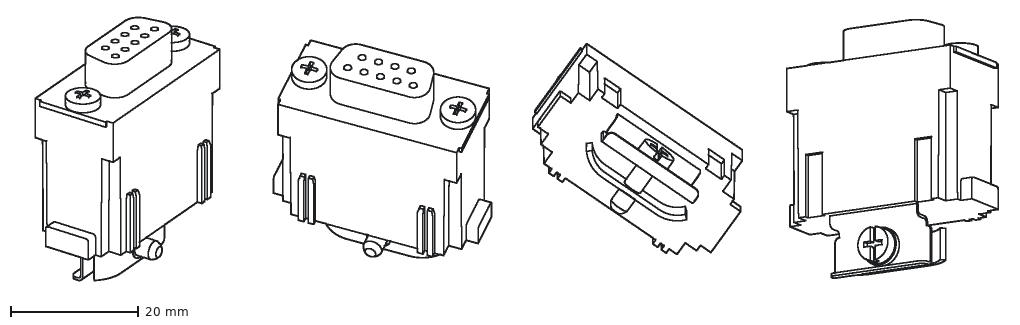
import cadquery as cq
import math

BODY_X = 14.8
BODY_Y = 30.0
BODY_Z = 24.5

RELIEF_X = 2.12
RELIEF_Y = 2.04
RELIEF_Z = 17.5
RELIEF_DRAFT = 0.5

LATCH_Y = 10.0
LATCH_Z = 10.1
RIB_PROUD = 0.8
RIB_WIDTH = 0.95
RIB_SPACING = 1.65
RIB_LEAD_Z = 0.9
RIB_LEAD_X = 0.2
RIB_LEAD_Y = 0.25
SLOT_WIDTH = 3.05
SLOT_DEPTH = 0.8

LUG_PROUD = 2.0
LUG_Z = 3.63
LUG_RADIUS = 0.5
FRONT_LUG_X = 8.15
REAR_LUG_X = 6.15

PLATE_X = 12.5
PLATE_Y = 30.8
PLATE_T = 0.9

SHELL_Z = 6.0
SHELL_CORNER_R = 2.5
SHELL_CENTER_X = 1.47
SHELL_SLANT = 10.0
SHELL_WIDE_Y = 5.75
SHELL_NARROW_Y = SHELL_WIDE_Y - 2 * SHELL_CENTER_X * math.tan(math.radians(SHELL_SLANT))

CONTACT_D = 1.2
CONTACT_PITCH = 2.75
CONTACT_ROW_X = 1.42
CONTACT_DEPTH = SHELL_Z
WIDE_ROW_COUNT = 5
NARROW_ROW_COUNT = 4

SCREW_Y = 12.5
SCREW_HEAD_D = 5.55
SCREW_RIM_Z = 1.55
SCREW_DOME_Z = 0.43
SCREW_CROSS_LENGTH = 2.65
SCREW_CROSS_WIDTH = 0.56
SCREW_CROSS_DEPTH = 1.0

SHEET_T = 0.45
BEND_R = 0.95
CLAMP_TOP_X = -5.9
CLAMP_FACE_X = -2.56
CLAMP_LIP_X = -4.9
CLAMP_SHELF_Z = -1.5
CLAMP_BOTTOM_Z = -9.5
CLAMP_WIDTH = 17.5
CLAMP_SHOULDER_Z = -2.92
CLAMP_SHOULDER_R = 0.775
CLAMP_LIP_R = 1.0

CLAMP_SCREW_Z = -5.47
CLAMP_HEAD_X = -6.02
CLAMP_WASHER_X = -3.98
CLAMP_HEAD_FACE_D = 5.5
CLAMP_HEAD_BASE_D = 5.65
CLAMP_WASHER_D = 6.1
CLAMP_SHANK_D = 3.1
CLAMP_SHANK_END_X = 5.0
CLAMP_TIP_X = 6.0
CLAMP_TIP_D = 1.8
CLAMP_TIP_ROUND_R = 2.0
CLAMP_SLOT_WIDTH = 0.9
CLAMP_CROSS_LENGTH = 3.25
CLAMP_CROSS_WIDTH = 0.8
CLAMP_SLOT_DEPTH = 1.0

BAR_Z = 5.13
BAR_OUTER_X = 2.3
BAR_T = 0.9
BAR_FLAT_HALF_Y = 5.25
BAR_BEND_R = 5.75
BAR_BEND_ANGLE = 50.0
BAR_COLLAR_D = 4.0
BAR_COLLAR_PROUD = 0.1


def box(x_range, y_range, z_range):
    """Axis-aligned box between pairs of limits."""
    (x0, x1), (y0, y1), (z0, z1) = x_range, y_range, z_range
    return cq.Workplane("XY").box(x1 - x0, y1 - y0, z1 - z0, centered=False).translate((x0, y0, z0))


def centered_box(size_x, size_y, z_range):
    """Box centred on the Z axis."""
    return box((-size_x / 2, size_x / 2), (-size_y / 2, size_y / 2), z_range)


def corner_relief(side_x, side_y):
    """Tapered square notch along one vertical edge of the housing."""
    spread = 2 * RELIEF_Z * math.tan(math.radians(RELIEF_DRAFT))
    bottom = cq.Workplane("XY").rect(2 * RELIEF_X + spread, 2 * RELIEF_Y + spread)
    notch = bottom.workplane(offset=RELIEF_Z).rect(2 * RELIEF_X, 2 * RELIEF_Y).loft(ruled=True)
    return notch.translate((side_x * BODY_X / 2, side_y * BODY_Y / 2, 0))


def latch_slot(y):
    """Shallow slot in the -X face, open at the underside."""
    face_x = -BODY_X / 2
    return box((face_x, face_x + SLOT_DEPTH), (y - SLOT_WIDTH / 2, y + SLOT_WIDTH / 2), (0, LATCH_Z))


def latch_rib(y, outward):
    """Rib on the +X face; its top tapers in X and on the side facing `outward` in Y."""
    face_x = BODY_X / 2
    lead_z = LATCH_Z - RIB_LEAD_Z
    base = box((face_x, face_x + RIB_PROUD), (y - RIB_WIDTH / 2, y + RIB_WIDTH / 2), (0, lead_z))
    lead = (
        cq.Workplane("XY", origin=(face_x + RIB_PROUD / 2, y, lead_z))
        .rect(RIB_PROUD, RIB_WIDTH)
        .workplane(offset=RIB_LEAD_Z)
        .center(-RIB_LEAD_X / 2, -outward * RIB_LEAD_Y / 2)
        .rect(RIB_PROUD - RIB_LEAD_X, RIB_WIDTH - RIB_LEAD_Y)
        .loft(ruled=True)
    )
    return base.union(lead)


def end_lug(side_y, width):
    """Lug with rounded top edges on one end face of the housing."""
    y_limits = sorted((side_y * BODY_Y / 2, side_y * (BODY_Y / 2 + LUG_PROUD)))
    lug = box((-width / 2, width / 2), y_limits, (0, LUG_Z))
    return lug.edges("|Y and >Z").fillet(LUG_RADIUS)


def housing():
    """Block with corner reliefs, latch slots and ribs, end lugs and flange plate."""
    body = centered_box(BODY_X, BODY_Y, (0, BODY_Z))
    for side_x in (-1, 1):
        for side_y in (-1, 1):
            body = body.cut(corner_relief(side_x, side_y))
    for side_y in (-1, 1):
        latch_y = side_y * LATCH_Y
        body = body.cut(latch_slot(latch_y))
        for outward in (-1, 1):
            body = body.union(latch_rib(latch_y + outward * RIB_SPACING / 2, outward))
    body = body.union(end_lug(-1, FRONT_LUG_X)).union(end_lug(1, REAR_LUG_X))
    return body.union(centered_box(PLATE_X, PLATE_Y, (BODY_Z - PLATE_T, BODY_Z)))


def connector_shell():
    """D-shaped plug with its two rows of contact holes."""
    arc_centers = [
        (-SHELL_CENTER_X, -SHELL_NARROW_Y),
        (SHELL_CENTER_X, -SHELL_WIDE_Y),
        (SHELL_CENTER_X, SHELL_WIDE_Y),
        (-SHELL_CENTER_X, SHELL_NARROW_Y),
    ]
    outline = cq.Workplane("XY", origin=(0, 0, BODY_Z)).polyline(arc_centers).close()
    shell = outline.offset2D(SHELL_CORNER_R).extrude(SHELL_Z)
    for row_x, count in ((CONTACT_ROW_X, WIDE_ROW_COUNT), (-CONTACT_ROW_X, NARROW_ROW_COUNT)):
        row = cq.Workplane("XY", origin=(row_x, 0, BODY_Z + SHELL_Z))
        holes = row.rarray(1, CONTACT_PITCH, 1, count).circle(CONTACT_D / 2).extrude(-CONTACT_DEPTH)
        shell = shell.cut(holes)
    return shell


def flange_screw(y):
    """Domed screw head with a cross recess."""
    radius = SCREW_HEAD_D / 2
    top_z = SCREW_RIM_Z + SCREW_DOME_Z
    dome_r = (radius**2 + SCREW_DOME_Z**2) / (2 * SCREW_DOME_Z)
    mid_x = radius / 2
    mid_z = top_z - dome_r + math.sqrt(dome_r**2 - mid_x**2)
    head = (
        cq.Workplane("XZ")
        .lineTo(radius, 0)
        .lineTo(radius, SCREW_RIM_Z)
        .threePointArc((mid_x, mid_z), (0, top_z))
        .close()
        .revolve(360, (0, 0, 0), (0, 1, 0))
    )
    recess_z = (top_z - SCREW_CROSS_DEPTH, top_z)
    head = head.cut(centered_box(SCREW_CROSS_LENGTH, SCREW_CROSS_WIDTH, recess_z))
    head = head.cut(centered_box(SCREW_CROSS_WIDTH, SCREW_CROSS_LENGTH, recess_z))
    return head.translate((0, y, BODY_Z))


def clamp_plate():
    """Sheet strip bent down, across, down again and back into a lip."""
    centerline_r = BEND_R - SHEET_T / 2
    half_t = SHEET_T / 2
    top_x = CLAMP_TOP_X + half_t
    face_x = CLAMP_FACE_X - half_t
    shelf_z = CLAMP_SHELF_Z - half_t
    lip_z = CLAMP_BOTTOM_Z + half_t
    centerline = (
        cq.Workplane("XZ")
        .moveTo(top_x, 0)
        .lineTo(top_x, shelf_z + centerline_r)
        .radiusArc((top_x + centerline_r, shelf_z), -centerline_r)
        .lineTo(face_x - centerline_r, shelf_z)
        .radiusArc((face_x, shelf_z - centerline_r), centerline_r)
        .lineTo(face_x, lip_z + centerline_r)
        .radiusArc((face_x - centerline_r, lip_z), centerline_r)
        .lineTo(CLAMP_LIP_X, lip_z)
    )
    strip = cq.Workplane("XY").center(top_x, 0).rect(SHEET_T, CLAMP_WIDTH).sweep(centerline)
    return strip.intersect(clamp_front_outline()).intersect(clamp_lip_outline())


def clamp_front_outline():
    """Prism along X: narrow neck above, wide plate with rounded shoulders below."""
    reach = (CLAMP_TOP_X, CLAMP_FACE_X)
    wide_half = CLAMP_WIDTH / 2
    neck_half = wide_half - CLAMP_SHOULDER_R
    wide = box(reach, (-wide_half, wide_half), (CLAMP_BOTTOM_Z, CLAMP_SHOULDER_Z))
    wide = wide.edges("|X and >Z").fillet(CLAMP_SHOULDER_R)
    return wide.union(box(reach, (-neck_half, neck_half), (CLAMP_BOTTOM_Z, 0)))


def clamp_lip_outline():
    """Prism along Z: rounds the free corners of the lip and clears the neck above it."""
    half = CLAMP_WIDTH / 2
    lip = box((CLAMP_LIP_X, CLAMP_FACE_X), (-half, half), (CLAMP_BOTTOM_Z, CLAMP_SHOULDER_Z))
    lip = lip.edges("|Z and <X").fillet(CLAMP_LIP_R)
    return lip.union(box((CLAMP_TOP_X, CLAMP_FACE_X), (-half, half), (CLAMP_SHOULDER_Z, 0)))


def clamp_screw():
    """Slotted cross-head screw with its washer, turned about an axis along X."""
    head_r = CLAMP_HEAD_FACE_D / 2
    washer_r = CLAMP_WASHER_D / 2
    shank_r = CLAMP_SHANK_D / 2
    tip_r = CLAMP_TIP_D / 2
    seat_x = CLAMP_FACE_X - SHEET_T
    screw = (
        cq.Workplane("XZ")
        .moveTo(CLAMP_HEAD_X, 0)
        .lineTo(CLAMP_HEAD_X, head_r)
        .lineTo(CLAMP_WASHER_X, CLAMP_HEAD_BASE_D / 2)
        .lineTo(CLAMP_WASHER_X, washer_r)
        .lineTo(seat_x, washer_r)
        .lineTo(seat_x, shank_r)
        .lineTo(CLAMP_SHANK_END_X, shank_r)
        .radiusArc((CLAMP_TIP_X, tip_r), CLAMP_TIP_ROUND_R)
        .lineTo(CLAMP_TIP_X, 0)
        .close()
        .revolve(360, (0, 0, 0), (1, 0, 0))
    )
    depth = (CLAMP_HEAD_X, CLAMP_HEAD_X + CLAMP_SLOT_DEPTH)
    half_slot = CLAMP_SLOT_WIDTH / 2
    half_cross_y = CLAMP_CROSS_LENGTH / 2
    half_cross_z = CLAMP_CROSS_WIDTH / 2
    screw = screw.cut(box(depth, (-half_slot, half_slot), (-washer_r, washer_r)))
    screw = screw.cut(box(depth, (-half_cross_y, half_cross_y), (-half_cross_z, half_cross_z)))
    return screw.translate((0, 0, CLAMP_SCREW_Z))


def bar_bend_point(radius, angle):
    """Point on the +Y bend of the clamp bar, `angle` degrees past the flat."""
    turn = math.radians(angle)
    center_x = BAR_OUTER_X - BAR_BEND_R
    return center_x + radius * math.cos(turn), BAR_FLAT_HALF_Y + radius * math.sin(turn)


def clamp_bar():
    """Flat bar with both ends bent towards -X, and a low collar around the screw."""
    inner_r = BAR_BEND_R - BAR_T
    inner_x = BAR_OUTER_X - BAR_T
    half = (
        cq.Workplane("XY", origin=(0, 0, CLAMP_SCREW_Z - BAR_Z / 2))
        .moveTo(BAR_OUTER_X, 0)
        .lineTo(BAR_OUTER_X, BAR_FLAT_HALF_Y)
        .threePointArc(
            bar_bend_point(BAR_BEND_R, BAR_BEND_ANGLE / 2), bar_bend_point(BAR_BEND_R, BAR_BEND_ANGLE)
        )
        .lineTo(*bar_bend_point(inner_r, BAR_BEND_ANGLE))
        .threePointArc(bar_bend_point(inner_r, BAR_BEND_ANGLE / 2), (inner_x, BAR_FLAT_HALF_Y))
        .lineTo(inner_x, 0)
        .close()
        .extrude(BAR_Z)
    )
    bar = half.union(half.mirror("XZ"))
    collar = cq.Workplane("YZ", origin=(inner_x, 0, CLAMP_SCREW_Z)).circle(BAR_COLLAR_D / 2)
    return bar.union(collar.extrude(BAR_T + BAR_COLLAR_PROUD))


result = housing().union(connector_shell())
for screw_y in (-SCREW_Y, SCREW_Y):
    result = result.union(flange_screw(screw_y))
result = result.union(clamp_plate()).union(clamp_screw()).union(clamp_bar())